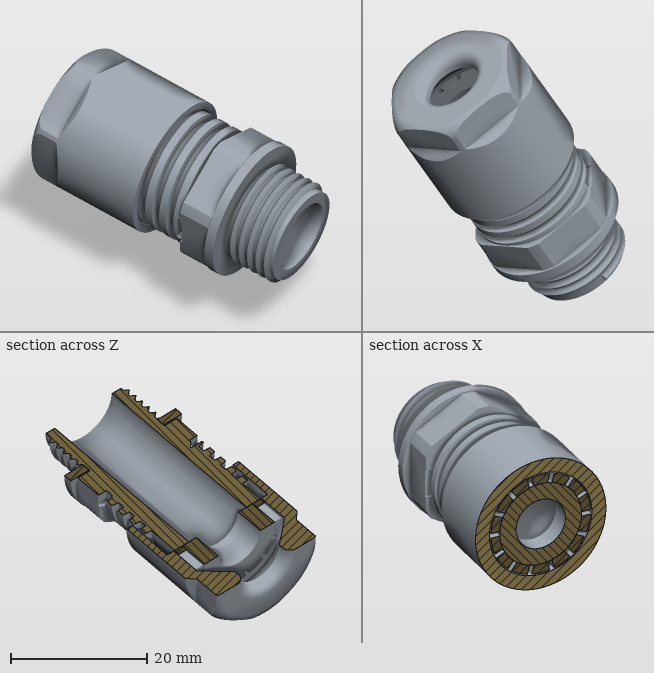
import cadquery as cq
import math

TOTAL_LENGTH = 41.75
OVERCUT = 2.1

NUT_DIAMETER = 21.5
NUT_LENGTH = 19.15
SIDES = 6
NUT_FLATS = 19.0
NUT_FLAT_LENGTH = 4.55
NUT_EDGE_RADIUS = 1.95
MOUTH_DIAMETER = 8.4
MOUTH_RADIUS = 1.5
MOUTH_LENGTH = 2.2
NUT_CAVITY_X = 5.95
NUT_CAVITY_DIAMETER = 16.75
NUT_BORE_DIAMETER = 19.2

SEAL_X = 6.2
SEAL_DIAMETER = 13.53
SEAL_BORE = 8.0
CAGE_X = 6.47
CAGE_DIAMETER = 16.45
FINGER_COUNT = 14
FINGER_GAP = 0.65
FINGER_LENGTH = 3.75

BODY_X = 11.27
CORE_DIAMETER = 16.45
BODY_BORE = 10.95
HEX_X = 26.7
HEX_END_X = 31.77
HEX_FLATS = 19.0
HEX_CORNER_DIAMETER = 20.95
SPIGOT_DIAMETER = 14.45

CLAMP_PITCH = 2.5
CLAMP_TURNS = 5
CLAMP_CREST_DIAMETER = 18.7
CLAMP_CREST_WIDTH = 1.15
CLAMP_ROOT_WIDTH = 1.4
CLAMP_START_X = 15.32

SPIGOT_PITCH = 1.5
SPIGOT_TURNS = 5.4
SPIGOT_CREST_DIAMETER = 16.0
SPIGOT_CREST_WIDTH = 0.1
SPIGOT_ROOT_WIDTH = 1.05
SPIGOT_START_X = 32.77

ROOT_OVERLAP = 0.2

WASHER_DIAMETER = 21.35
WASHER_X = 31.9
WASHER_END_X = 33.4

NOTCH_X = 25.8
NOTCH_END_X = 27.05
NOTCH_WIDTH = 4.4
NOTCH_FLOOR = 7.97
POCKET_WIDTH = 1.15
POCKET_LENGTH = 0.85


def cylinder(diameter, x_start, x_end):
    """Solid cylinder on the X axis."""
    return cq.Workplane("YZ", origin=(x_start, 0, 0)).circle(diameter / 2).extrude(x_end - x_start)


def tube(outer_diameter, inner_diameter, x_start, x_end):
    """Hollow cylinder on the X axis."""
    return cylinder(outer_diameter, x_start, x_end).cut(cylinder(inner_diameter, x_start, x_end))


def revolve_profile(profile):
    """Revolve a closed (x, radius) outline about the X axis."""
    return profile.close().revolve(360, (0, 0, 0), (1, 0, 0))


def helical_ridge(pitch, turns, start_x, core_diameter, crest_diameter, root_width, crest_width):
    """Right-handed thread ridge around the X axis, starting at the top."""
    root_radius = core_diameter / 2
    crest_radius = crest_diameter / 2
    flank_slope = (root_width - crest_width) / 2 / (crest_radius - root_radius)
    sunk_radius = root_radius - ROOT_OVERLAP
    sunk_half_width = root_width / 2 + flank_slope * ROOT_OVERLAP
    crest_half_width = crest_width / 2
    path = cq.Wire.makeHelix(pitch, turns * pitch, root_radius)
    ridge = (
        cq.Workplane("XZ")
        .polyline([
            (sunk_radius, -sunk_half_width),
            (crest_radius, -crest_half_width),
            (crest_radius, crest_half_width),
            (sunk_radius, sunk_half_width),
        ])
        .close()
        .sweep(cq.Workplane(obj=path), isFrenet=True)
    )
    return (
        ridge.rotate((0, 0, 0), (0, 1, 0), 90)
        .rotate((0, 0, 0), (1, 0, 0), 180)
        .translate((start_x, 0, 0))
    )


def make_cap_nut():
    outer_radius = NUT_DIAMETER / 2
    mouth_bore_radius = MOUTH_DIAMETER / 2
    edge_mid = NUT_EDGE_RADIUS * (1 - math.sqrt(0.5))
    mouth_mid = MOUTH_RADIUS * (1 - math.sqrt(0.5))
    nut = revolve_profile(
        cq.Workplane("XY")
        .moveTo(0, mouth_bore_radius + MOUTH_RADIUS)
        .lineTo(0, outer_radius - NUT_EDGE_RADIUS)
        .threePointArc((edge_mid, outer_radius - edge_mid), (NUT_EDGE_RADIUS, outer_radius))
        .lineTo(NUT_LENGTH, outer_radius)
        .lineTo(NUT_LENGTH, NUT_BORE_DIAMETER / 2)
        .lineTo(BODY_X, NUT_BORE_DIAMETER / 2)
        .lineTo(BODY_X, NUT_CAVITY_DIAMETER / 2)
        .lineTo(NUT_CAVITY_X, NUT_CAVITY_DIAMETER / 2)
        .lineTo(MOUTH_LENGTH, mouth_bore_radius)
        .lineTo(MOUTH_RADIUS, mouth_bore_radius)
        .threePointArc((mouth_mid, mouth_bore_radius + mouth_mid),
                       (0, mouth_bore_radius + MOUTH_RADIUS))
    )
    flat = NUT_FLATS / 2
    rise = outer_radius - flat + OVERCUT
    flat_cutter = (
        cq.Workplane("XY")
        .polyline([
            (-OVERCUT, flat),
            (NUT_FLAT_LENGTH, flat),
            (NUT_FLAT_LENGTH + rise, flat + rise),
            (-OVERCUT, flat + rise),
        ])
        .close()
        .extrude(outer_radius, both=True)
    )
    for side in range(SIDES):
        nut = nut.cut(flat_cutter.rotate((0, 0, 0), (1, 0, 0), side * 360 / SIDES))
    return nut


def make_seal():
    return tube(SEAL_DIAMETER, SEAL_BORE, SEAL_X, BODY_X)


def make_clamp_cage():
    """Ring with fingers that point to the mouth and lie around the seal."""
    cage = tube(CAGE_DIAMETER, SEAL_DIAMETER, CAGE_X, BODY_X)
    gap = (
        cq.Workplane("XY")
        .box(FINGER_LENGTH, CAGE_DIAMETER, FINGER_GAP, centered=(False, False, True))
        .translate((CAGE_X, 0, 0))
    )
    for finger_gap in range(FINGER_COUNT):
        cage = cage.cut(gap.rotate((0, 0, 0), (1, 0, 0), finger_gap * 360 / FINGER_COUNT))
    return cage


def make_notch():
    """Cutter for the front notch."""
    return (
        cq.Workplane("XY")
        .box(NOTCH_END_X - NOTCH_X, OVERCUT + HEX_CORNER_DIAMETER / 2 - NOTCH_FLOOR, NOTCH_WIDTH,
             centered=(False, False, True))
        .translate((NOTCH_X, -OVERCUT - HEX_CORNER_DIAMETER / 2, 0))
    )


def make_pocket():
    """Cutter for the pocket in the front notch, whose floor ramps out at 45 degrees."""
    return (
        cq.Workplane("XY")
        .polyline([
            (NOTCH_X, -NOTCH_FLOOR),
            (NOTCH_X, -NOTCH_FLOOR + POCKET_LENGTH),
            (NOTCH_X + POCKET_LENGTH, -NOTCH_FLOOR),
        ])
        .close()
        .extrude(POCKET_WIDTH / 2, both=True)
    )


def make_gland_body():
    core = cylinder(CORE_DIAMETER, BODY_X, HEX_END_X)
    hexagon = (
        cq.Workplane("YZ", origin=(HEX_X, 0, 0))
        .polygon(SIDES, HEX_FLATS, circumscribed=True)
        .extrude(HEX_END_X - HEX_X)
        .intersect(cylinder(HEX_CORNER_DIAMETER, HEX_X, HEX_END_X))
    )
    spigot = cylinder(SPIGOT_DIAMETER, HEX_END_X, TOTAL_LENGTH)
    clamp_thread = helical_ridge(CLAMP_PITCH, CLAMP_TURNS, CLAMP_START_X, CORE_DIAMETER,
                                 CLAMP_CREST_DIAMETER, CLAMP_ROOT_WIDTH, CLAMP_CREST_WIDTH)
    spigot_thread = helical_ridge(SPIGOT_PITCH, SPIGOT_TURNS, SPIGOT_START_X, SPIGOT_DIAMETER,
                                  SPIGOT_CREST_DIAMETER, SPIGOT_ROOT_WIDTH, SPIGOT_CREST_WIDTH)
    spigot_thread = spigot_thread.cut(cylinder(WASHER_DIAMETER, HEX_X, WASHER_END_X))
    body = core.union(clamp_thread).union(hexagon).union(spigot).union(spigot_thread)
    body = body.cut(cylinder(BODY_BORE, BODY_X, TOTAL_LENGTH))
    front_notch = make_notch()
    back_notch = front_notch.mirror("XZ")
    return body.cut(front_notch).cut(back_notch).cut(make_pocket())


def make_washer():
    return tube(WASHER_DIAMETER, SPIGOT_DIAMETER, WASHER_X, WASHER_END_X)


cap_nut = make_cap_nut()
seal = make_seal()
clamp_cage = make_clamp_cage()
gland_body = make_gland_body()
washer = make_washer()

result = cq.Compound.makeCompound([
    cap_nut.solids().val(),
    seal.solids().val(),
    clamp_cage.solids().val(),
    gland_body.solids().val(),
    washer.solids().val(),
])